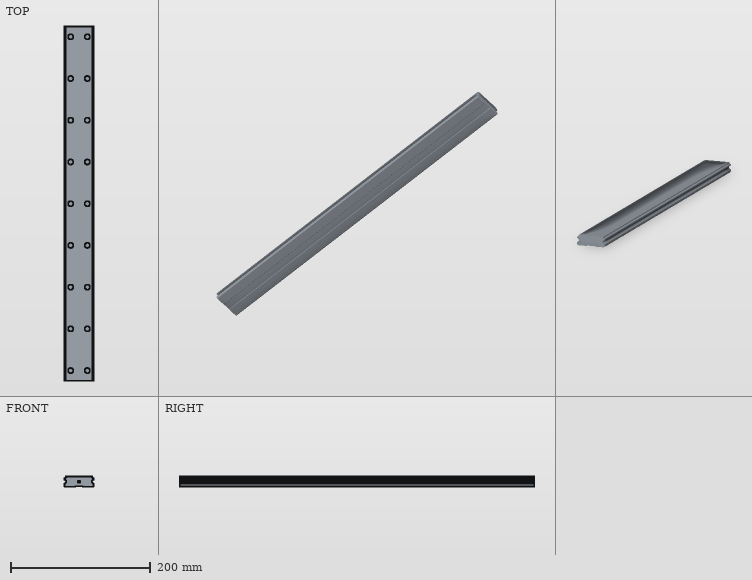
import cadquery as cq

RAIL_WIDTH = 42.0
RAIL_LENGTH = 510.0
RAIL_HEIGHT = 15.0
HALF_WIDTH = RAIL_WIDTH / 2

FOOT_CHAMFER = 1.2
FOOT_TOP_Z = 4.3
RELIEF_WIDTH = 12.0
RELIEF_DEPTH = 0.65
RELIEF_SIDE_RUN = 0.5

GROOVE_BOTTOM_Z = 6.2
GROOVE_TOP_Z = 9.0
GROOVE_DEPTH = 2.05
SLOT_DEPTH = 0.6
SLOT_TAPER = 0.25

BAND_BOTTOM_Z = 10.6
BAND_TOP_Z = 12.3
TOP_TRACK_WIDTH = 2.0
LOWER_TRACK_SAGITTA = 0.25
TOP_TRACK_SAGITTA = 0.95

RECESS_DIAMETER = 7.5
RECESS_DEPTH = 0.1
RECESS_ROW_SPACING = 24.0
RECESS_PITCH = 60.0
RECESSES_PER_ROW = 9

END_HOLE_DIAMETER = 3.2
END_HOLE_DEPTH = 8.0
END_HOLE_Z = RAIL_HEIGHT / 2


def rail_body():
    """Extrude the right half of the cross-section along Y and mirror it."""
    groove_x = HALF_WIDTH - GROOVE_DEPTH
    slot_x = groove_x - SLOT_DEPTH
    relief_x = RELIEF_WIDTH / 2
    half_section = (
        cq.Workplane("XZ")
        .moveTo(0, RELIEF_DEPTH)
        .lineTo(relief_x - RELIEF_SIDE_RUN, RELIEF_DEPTH)
        .lineTo(relief_x, 0)
        .lineTo(HALF_WIDTH - FOOT_CHAMFER, 0)
        .lineTo(HALF_WIDTH, FOOT_CHAMFER)
        .lineTo(HALF_WIDTH, FOOT_TOP_Z)
        .lineTo(groove_x, GROOVE_BOTTOM_Z)
        .lineTo(slot_x, GROOVE_BOTTOM_Z + SLOT_TAPER)
        .lineTo(slot_x, GROOVE_TOP_Z - SLOT_TAPER)
        .lineTo(groove_x, GROOVE_TOP_Z)
        .sagittaArc((HALF_WIDTH, BAND_BOTTOM_Z), LOWER_TRACK_SAGITTA)
        .lineTo(HALF_WIDTH, BAND_TOP_Z)
        .sagittaArc((HALF_WIDTH - TOP_TRACK_WIDTH, RAIL_HEIGHT), TOP_TRACK_SAGITTA)
        .lineTo(0, RAIL_HEIGHT)
        .close()
    )
    half_rail = half_section.extrude(RAIL_LENGTH / 2, both=True)
    return half_rail.union(half_rail.mirror("YZ")).clean()


def mounting_recesses():
    """Cylinders that cut both rows of recesses into the top face."""
    return (
        cq.Workplane("XY", origin=(0, 0, RAIL_HEIGHT))
        .rarray(RECESS_ROW_SPACING, RECESS_PITCH, 2, RECESSES_PER_ROW)
        .circle(RECESS_DIAMETER / 2)
        .extrude(-RECESS_DEPTH)
    )


def end_hole():
    """Cylinder that cuts the hole in the front end face."""
    return (
        cq.Workplane("XZ", origin=(0, -RAIL_LENGTH / 2, END_HOLE_Z))
        .circle(END_HOLE_DIAMETER / 2)
        .extrude(-END_HOLE_DEPTH)
    )


result = rail_body().cut(mounting_recesses()).cut(end_hole())